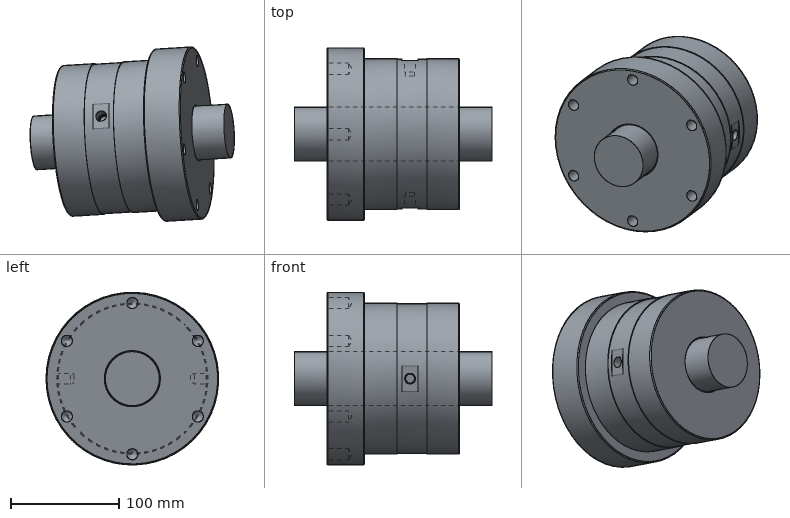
import cadquery as cq
import math

shaft_length = 183.0
shaft_diameter = 50.0

shaft_overhang = 30.0
flange_diameter = 160.0
flange_thickness = 35.0
barrel_diameter = 140.0
band_diameter = 138.9
band_start = 95.2
band_width = 27.6
edge_chamfer = 1.0

flange_end = shaft_overhang + flange_thickness
housing_end = shaft_length - shaft_overhang
housing_length = housing_end - shaft_overhang

bolt_count = 6
bolt_circle_diameter = barrel_diameter
bolt_hole_diameter = 10.2
bolt_hole_depth = 20.1
drill_point_angle = 118.0

pad_center_x = 107.0
pad_length = 15.0
pad_height = 23.8
port_diameter = 9.9
port_depth = 11.0
port_bottom_diameter = 8.2
port_bottom_depth = 3.7
pad_distance = math.sqrt((band_diameter / 2) ** 2 - (pad_height / 2) ** 2)


def x_cylinder(diameter, start, length):
    """Cylinder along the X axis, beginning at x = start."""
    return cq.Workplane("YZ", origin=(start, 0, 0)).circle(diameter / 2).extrude(length)


def make_housing_blank():
    flange = x_cylinder(flange_diameter, shaft_overhang, flange_thickness)
    flange = flange.faces("<X or >X").edges().chamfer(edge_chamfer)
    barrel = x_cylinder(barrel_diameter, flange_end, housing_end - flange_end)
    barrel = barrel.faces(">X").edges().chamfer(edge_chamfer)
    band_core = x_cylinder(band_diameter, band_start, band_width)
    band_cut = x_cylinder(flange_diameter, band_start, band_width).cut(band_core)
    return flange.union(barrel).cut(band_cut)


def make_shaft_bore():
    """Bore that fits the shaft, with a chamfered mouth at each end."""
    bore = x_cylinder(shaft_diameter, shaft_overhang, housing_length)
    mouth_radius = shaft_diameter / 2 + edge_chamfer
    axis = cq.Vector(1, 0, 0)
    for x, direction in ((shaft_overhang, axis), (housing_end, -axis)):
        mouth = cq.Solid.makeCone(
            mouth_radius, shaft_diameter / 2, edge_chamfer, cq.Vector(x, 0, 0), direction
        )
        bore = bore.union(cq.Workplane(mouth))
    return bore


def make_bolt_hole(angle):
    """Drilled hole into the flange face; the angle is measured from +Z about X."""
    radius = bolt_hole_diameter / 2
    point_depth = radius / math.tan(math.radians(drill_point_angle / 2))
    drill = x_cylinder(bolt_hole_diameter, shaft_overhang, bolt_hole_depth)
    point = cq.Solid.makeCone(
        radius, 0, point_depth, cq.Vector(shaft_overhang + bolt_hole_depth, 0, 0), cq.Vector(1, 0, 0)
    )
    hole = drill.union(cq.Workplane(point)).translate((0, 0, bolt_circle_diameter / 2))
    return hole.rotate((0, 0, 0), (1, 0, 0), angle)


def make_port_cut(side):
    """Flat pad and stepped port hole; side is -1 for -Y and +1 for +Y."""
    cut_depth = barrel_diameter / 2 - pad_distance
    pad = cq.Workplane("XY").box(pad_length, cut_depth, pad_height)
    pad = pad.translate((pad_center_x, side * (pad_distance + cut_depth / 2), 0))
    pad_center = cq.Vector(pad_center_x, side * pad_distance, 0)
    inward = cq.Vector(0, -side, 0)
    port = cq.Solid.makeCylinder(port_diameter / 2, port_depth, pad_center, inward)
    port_bottom = cq.Solid.makeCylinder(
        port_bottom_diameter / 2, port_depth + port_bottom_depth, pad_center, inward
    )
    return pad.union(cq.Workplane(port)).union(cq.Workplane(port_bottom))


def make_housing():
    housing = make_housing_blank().cut(make_shaft_bore())
    for index in range(bolt_count):
        housing = housing.cut(make_bolt_hole(index * 360 / bolt_count))
    for side in (-1, 1):
        housing = housing.cut(make_port_cut(side))
    return housing


def make_shaft():
    return x_cylinder(shaft_diameter, 0, shaft_length)


housing = make_housing()
shaft = make_shaft()

result = cq.Compound.makeCompound([housing.val(), shaft.val()])